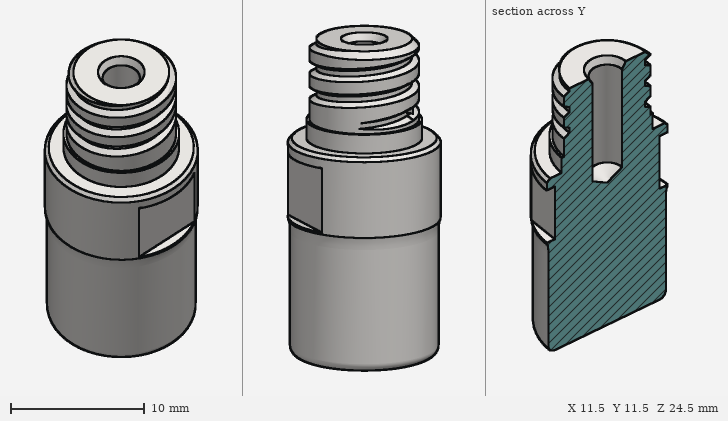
import cadquery as cq
import math

TOTAL_HEIGHT = 24.5
FLARE_START_Z = 9.55
FLARE_END_Z = 10.4
COLLAR_BOTTOM_Z = 10.55
COLLAR_TOP_Z = 16.75
NECK_TOP_Z = 18.2

BODY_RADIUS = 5.6
FLARE_END_RADIUS = 5.68
COLLAR_RADIUS = 5.75
NECK_RADIUS = 4.35
THREAD_RADIUS = 4.125
THREAD_ROOT_RADIUS = 3.6

BOTTOM_FILLET = 0.65
COLLAR_CHAMFER = 0.3
THREAD_DEPTH = THREAD_RADIUS - THREAD_ROOT_RADIUS
TOP_CHAMFER = THREAD_DEPTH

FLAT_ACROSS = 10.0
FLAT_HEIGHT = 5.0
FLAT_BOTTOM_Z = 10.7

PITCH = 2.0
GROOVE_ROOT_WIDTH = 0.43
GROOVE_FLANK_ANGLE = 30.0
GROOVE_OVERCUT = 0.2
GROOVE_START_ANGLE = 126.0
GROOVE_START_Z = 19.15
GROOVE_TOP_OVERRUN = 0.5
RUNOUT_OFFSET = 1.05
RUNOUT_SWEEP = 85.0

BORE_RADIUS = 1.4
COUNTERSINK_RADIUS = 1.75
COUNTERSINK_HALF_ANGLE = 30.0
BORE_DEPTH = 10.0
DRILL_POINT_ANGLE = 120.0


def make_turned_body():
    """Revolve the outline up to the neck, with a concave flare rising into the collar."""
    flare_rise = FLARE_END_RADIUS - BODY_RADIUS
    flare_length = FLARE_END_Z - FLARE_START_Z
    flare_middle = (BODY_RADIUS + flare_rise / 4, FLARE_START_Z + flare_length / 2)
    fillet_bend = BOTTOM_FILLET * (1 - math.sqrt(0.5))
    return (
        cq.Workplane("XZ")
        .moveTo(0, 0)
        .lineTo(BODY_RADIUS - BOTTOM_FILLET, 0)
        .threePointArc((BODY_RADIUS - fillet_bend, fillet_bend), (BODY_RADIUS, BOTTOM_FILLET))
        .lineTo(BODY_RADIUS, FLARE_START_Z)
        .threePointArc(flare_middle, (FLARE_END_RADIUS, FLARE_END_Z))
        .lineTo(COLLAR_RADIUS, COLLAR_BOTTOM_Z)
        .lineTo(COLLAR_RADIUS, COLLAR_TOP_Z - COLLAR_CHAMFER)
        .lineTo(COLLAR_RADIUS - COLLAR_CHAMFER, COLLAR_TOP_Z)
        .lineTo(NECK_RADIUS, COLLAR_TOP_Z)
        .lineTo(NECK_RADIUS, NECK_TOP_Z)
        .lineTo(0, NECK_TOP_Z)
        .close()
        .revolve(360, (0, 0, 0), (0, 1, 0))
    )


def make_wrench_flats():
    """Two blocks that remove the collar sides beyond the flats."""
    block_depth = COLLAR_RADIUS
    block_offset = (FLAT_ACROSS + block_depth) / 2
    return (
        cq.Workplane("XY", origin=(0, 0, FLAT_BOTTOM_Z))
        .pushPoints([(-block_offset, 0), (block_offset, 0)])
        .rect(block_depth, 2 * COLLAR_RADIUS)
        .extrude(FLAT_HEIGHT)
    )


def groove_profile():
    """Trapezoidal groove section in the XZ plane, centred on Z = 0."""
    root_half = GROOVE_ROOT_WIDTH / 2
    reach = THREAD_DEPTH + GROOVE_OVERCUT
    mouth_half = root_half + reach * math.tan(math.radians(GROOVE_FLANK_ANGLE))
    mouth_radius = THREAD_ROOT_RADIUS + reach
    return cq.Workplane("XZ").polyline([
        (THREAD_ROOT_RADIUS, -root_half),
        (mouth_radius, -mouth_half),
        (mouth_radius, mouth_half),
        (THREAD_ROOT_RADIUS, root_half),
    ]).close()


def place_groove(cutter):
    """Turn and lift a cutter from azimuth zero to the groove start."""
    return cutter.rotate((0, 0, 0), (0, 0, 1), GROOVE_START_ANGLE).translate((0, 0, GROOVE_START_Z))


def make_thread_groove():
    """Full-depth helical groove, leaving the part through the top face."""
    helix_height = TOTAL_HEIGHT + GROOVE_TOP_OVERRUN - GROOVE_START_Z
    helix = cq.Wire.makeHelix(PITCH, helix_height, THREAD_ROOT_RADIUS)
    return place_groove(groove_profile().sweep(cq.Workplane(obj=helix), isFrenet=True))


def make_groove_runout():
    """Arc of larger radius that continues the groove downwards and fades out of the crest."""
    lead_angle = math.atan(PITCH / (2 * math.pi * THREAD_ROOT_RADIUS))
    runout = groove_profile().revolve(
        RUNOUT_SWEEP, (-RUNOUT_OFFSET, 0, 0), (-RUNOUT_OFFSET, -1, 0)
    )
    return place_groove(runout.rotate((0, 0, 0), (1, 0, 0), math.degrees(lead_angle)))


def make_threaded_end():
    """Grooved cylinder on top of the neck, trimmed to a chamfered end."""
    blank = (
        cq.Workplane("XY", origin=(0, 0, NECK_TOP_Z))
        .circle(THREAD_RADIUS)
        .extrude(TOTAL_HEIGHT - NECK_TOP_Z)
    )
    chamfered_blank = blank.faces(">Z").chamfer(TOP_CHAMFER)
    grooved = blank.cut(make_thread_groove()).cut(make_groove_runout())
    return grooved.intersect(chamfered_blank)


def make_bore():
    """Countersunk blind hole with a drill-point bottom."""
    countersink_depth = (COUNTERSINK_RADIUS - BORE_RADIUS) / math.tan(math.radians(COUNTERSINK_HALF_ANGLE))
    point_depth = BORE_RADIUS / math.tan(math.radians(DRILL_POINT_ANGLE / 2))
    bore_bottom_z = TOTAL_HEIGHT - BORE_DEPTH
    return (
        cq.Workplane("XZ")
        .moveTo(0, TOTAL_HEIGHT)
        .lineTo(COUNTERSINK_RADIUS, TOTAL_HEIGHT)
        .lineTo(BORE_RADIUS, TOTAL_HEIGHT - countersink_depth)
        .lineTo(BORE_RADIUS, bore_bottom_z)
        .lineTo(0, bore_bottom_z - point_depth)
        .close()
        .revolve(360, (0, 0, 0), (0, 1, 0))
    )


result = (
    make_turned_body()
    .cut(make_wrench_flats())
    .union(make_threaded_end())
    .cut(make_bore())
)